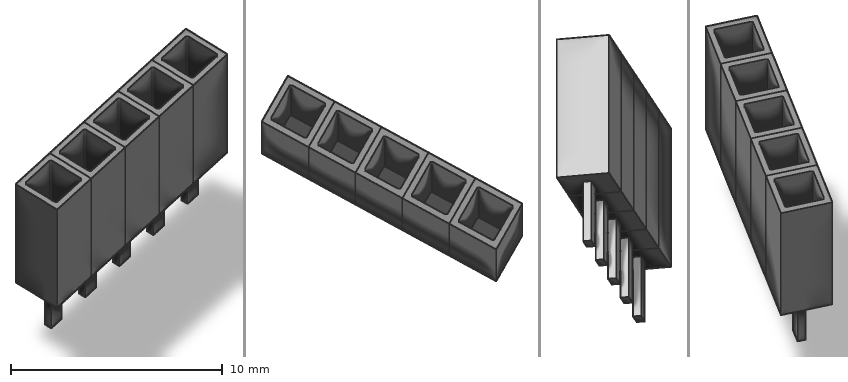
import cadquery as cq

socket_count = 5
pitch = 2.54

housing_width = pitch
housing_height = 7.0
wall_thickness = 0.3
socket_width = housing_width - 2 * wall_thickness
socket_depth = housing_height - wall_thickness
socket_corner_radius = 0.1

pin_thickness = 0.4
pin_width = 0.8
pin_length = 3.0


def make_housing(y):
    """Square block resting on Z = 0 with a round-cornered blind socket in its top."""
    block = cq.Workplane("XY").box(
        housing_width, housing_width, housing_height, centered=(True, True, False)
    )
    socket = (
        cq.Workplane("XY", origin=(0, 0, wall_thickness))
        .rect(socket_width, socket_width)
        .extrude(socket_depth)
        .edges("|Z")
        .fillet(socket_corner_radius)
    )
    return block.cut(socket).translate((0, y, 0))


def make_pin(y):
    """Rectangular pin whose top face touches the underside of the housing."""
    return (
        cq.Workplane("XY", origin=(0, y, -pin_length))
        .rect(pin_thickness, pin_width)
        .extrude(pin_length)
    )


first_y = -pitch * (socket_count - 1) / 2
row_positions = [first_y + i * pitch for i in range(socket_count)]

housings = []
pins = []
for y in row_positions:
    housings.append(make_housing(y).val())
    pins.append(make_pin(y).val())

result = cq.Compound.makeCompound([*housings, *pins])